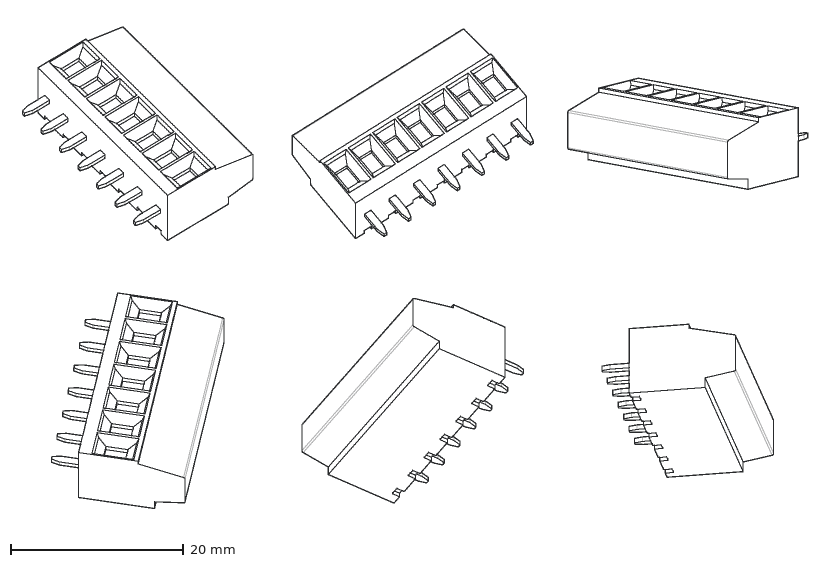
import cadquery as cq

pole_count = 7
body_width = 24.5
body_height = 8.2
overall_depth = 16.1
pin_length = 3.5
body_depth = overall_depth - pin_length
pitch = body_width / pole_count
pole_positions = [(pole - (pole_count - 1) / 2) * pitch for pole in range(pole_count)]

top_shelf_depth = 7.05
top_step_drop = 0.5
nose_top_drop = 1.81
foot_depth = 9.0
foot_height = 1.22
nose_bottom_height = 1.84
nose_fillet = 0.22

pocket_width = 3.18
pocket_length = 4.95
pocket_center_y = 4.05
funnel_depth = 1.4
mouth_depth = 0.5
mouth_inset = 0.22
socket_width = 1.76
socket_length = 2.6
socket_depth = 0.6

notch_width = 1.0
notch_height = 0.6
notch_depth = 1.0

pin_width = 0.9
pin_thickness = 0.6
pin_tip_width = 0.4
pin_tip_length = 1.0
pin_center_z = body_height / 2


def make_body():
    """Extrude the side profile across the full width and round the two rear nose edges."""
    profile = [
        (0, 0),
        (foot_depth, 0),
        (foot_depth, foot_height),
        (body_depth, nose_bottom_height),
        (body_depth, body_height - nose_top_drop),
        (top_shelf_depth, body_height - top_step_drop),
        (top_shelf_depth, body_height),
        (0, body_height),
    ]
    block = cq.Workplane("YZ").polyline(profile).close().extrude(body_width / 2, both=True)
    return block.faces(">Y").edges("|X").fillet(nose_fillet)


def frustum(x, top_z, depth, top_size, bottom_size):
    """Downward-tapering rectangular solid centred on a screw pocket; sizes are (X, Y)."""
    return (
        cq.Workplane("XY", origin=(x, pocket_center_y, top_z))
        .rect(*top_size)
        .workplane(offset=-depth)
        .rect(*bottom_size)
        .loft(ruled=True)
    )


def make_pocket(x):
    """Volume removed for one screw pocket."""
    middle_width = pocket_width - (pocket_width - socket_width) * mouth_depth / funnel_depth
    pocket_size = (pocket_width, pocket_length)
    middle_size = (middle_width, pocket_length - 2 * mouth_inset)
    socket_size = (socket_width, socket_length)

    mouth = frustum(x, body_height, mouth_depth, pocket_size, middle_size)
    throat = frustum(x, body_height - mouth_depth, funnel_depth - mouth_depth, middle_size, socket_size)
    socket = frustum(x, body_height - funnel_depth, socket_depth, socket_size, socket_size)
    return mouth.union(throat).union(socket)


def make_notch(x):
    """Volume removed for one notch in the lower front edge."""
    notch = cq.Workplane("XY").box(notch_width, notch_depth, notch_height, centered=(True, False, False))
    return notch.translate((x, 0, 0))


def make_pin(x):
    """Flat pin reaching forward from the body front face."""
    shank_end = -(pin_length - pin_tip_length)
    outline = [
        (-pin_width / 2, 0),
        (-pin_width / 2, shank_end),
        (-pin_tip_width / 2, -pin_length),
        (pin_tip_width / 2, -pin_length),
        (pin_width / 2, shank_end),
        (pin_width / 2, 0),
    ]
    pin = cq.Workplane("XY").polyline(outline).close().extrude(pin_thickness / 2, both=True)
    return pin.translate((x, 0, pin_center_z))


result = make_body()
for pole_x in pole_positions:
    result = result.cut(make_pocket(pole_x))
    result = result.cut(make_notch(pole_x))
    result = result.union(make_pin(pole_x))